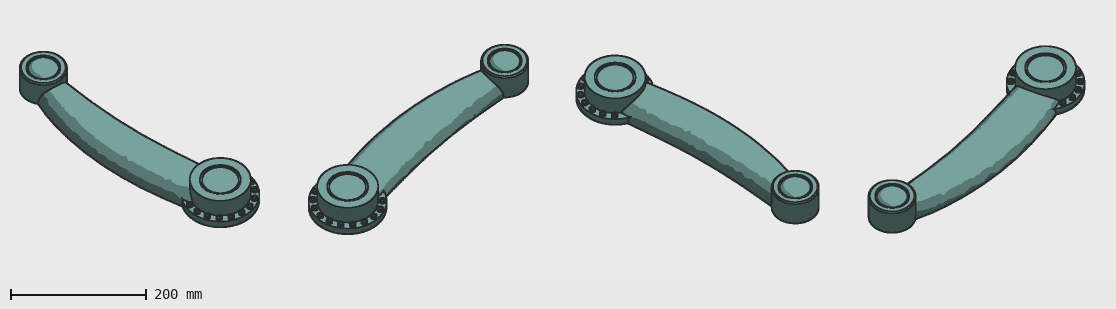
import cadquery as cq
import math

hub_height = 42.5
dome_top = 50.0
shaft_length = 20.0
shaft_diameter = 30.0
dome_groove_depth = 1.8

small_hub_diameter = 70.0
small_hub_chamfer = 2.0
small_dome_diameter = 45.0
small_groove_diameter = 50.0

hub_spacing = 350.0
large_hub_diameter = 90.0
large_dome_diameter = 54.0
large_groove_diameter = 60.0
flange_diameter = 115
flange_height = 12.0

bolt_pitch_count = 18
bolt_count = 13
first_bolt_angle = -110
bolt_circle_radius = 51.5
bolt_head_diameter = 9
bolt_head_height = 3.5
bolt_socket_diameter = 6.0
bolt_socket_depth = 1.8

arm_height = 32.7
arm_sections = [
    (0, -22.0, 24.0),
    (26.5, -34.5, 22.0),
    (68.0, -48.0, 19.0),
    (124.8, -58.5, 17.0),
    (196.5, -62.5, 18.5),
    (258.0, -58.0, 24.5),
    (318.0, -48.0, 31.0),
    (hub_spacing, -41.5, 34.5),
]


def cylinder(diameter, bottom, top):
    return cq.Workplane("XY").workplane(offset=bottom).circle(diameter / 2).extrude(top - bottom)


def dome(diameter):
    """Spherical cap rising from the groove floor to the top of the part."""
    radius = diameter / 2
    base = hub_height - dome_groove_depth
    rise = dome_top - base
    sphere_radius = (radius**2 + rise**2) / (2 * rise)
    mid_radius = radius / 2
    mid_height = dome_top - sphere_radius + math.sqrt(sphere_radius**2 - mid_radius**2)
    return (
        cq.Workplane("XZ")
        .moveTo(0, base)
        .lineTo(radius, base)
        .threePointArc((mid_radius, mid_height), (0, dome_top))
        .close()
        .revolve(360, (0, 0, 0), (0, 1, 0))
    )


def add_dome_and_shaft(hub, dome_diameter, groove_diameter):
    """Recess the hub top around a dome and add the shaft underneath."""
    recess = cylinder(groove_diameter, hub_height - dome_groove_depth, hub_height)
    shaft = cylinder(shaft_diameter, -shaft_length, 0)
    return hub.cut(recess).union(dome(dome_diameter)).union(shaft)


def make_small_hub():
    hub = cylinder(small_hub_diameter, 0, hub_height).faces(">Z").edges().chamfer(small_hub_chamfer)
    return add_dome_and_shaft(hub, small_dome_diameter, small_groove_diameter)


def make_bolt_head():
    top = flange_height + bolt_head_height
    head = cylinder(bolt_head_diameter, flange_height, top)
    return head.cut(cylinder(bolt_socket_diameter, top - bolt_socket_depth, top))


def make_large_hub():
    boss = cylinder(large_hub_diameter, 0, hub_height)
    hub = add_dome_and_shaft(boss, large_dome_diameter, large_groove_diameter)
    hub = hub.union(cylinder(flange_diameter, 0, flange_height))
    for index in range(bolt_count):
        angle = first_bolt_angle + index * 360 / bolt_pitch_count
        bolt = make_bolt_head().translate((bolt_circle_radius, 0, 0))
        hub = hub.union(bolt.rotate((0, 0, 0), (0, 0, 1), angle))
    return hub.translate((hub_spacing, 0, 0))


def arm_section(x, low_edge, high_edge):
    """Half ellipse standing on Z = 0, closed by its flat base."""
    half_width = (high_edge - low_edge) / 2
    centre = cq.Vector(x, (low_edge + high_edge) / 2, 0)
    along_x = cq.Vector(1, 0, 0)
    along_y = cq.Vector(0, 1, 0)
    if half_width >= arm_height:
        arch = cq.Edge.makeEllipse(half_width, arm_height, centre, along_x, along_y, 0, 180)
    else:
        upright = cq.Vector(0, 0, 1)
        arch = cq.Edge.makeEllipse(arm_height, half_width, centre, along_x, upright, 270, 90)
    base = cq.Edge.makeLine(arch.endPoint(), arch.startPoint())
    return cq.Wire.assembleEdges([arch, base])


def make_arm(large_hub):
    """Arm with the small hub, fitted around the large hub's boss and flange."""
    sections = [arm_section(*section) for section in arm_sections]
    beam = cq.Workplane(cq.Solid.makeLoft(sections))
    return beam.union(make_small_hub()).cut(large_hub)


large_hub = make_large_hub()
arm = make_arm(large_hub)

result = cq.Compound.makeCompound([arm.solids().val(), large_hub.solids().val()])